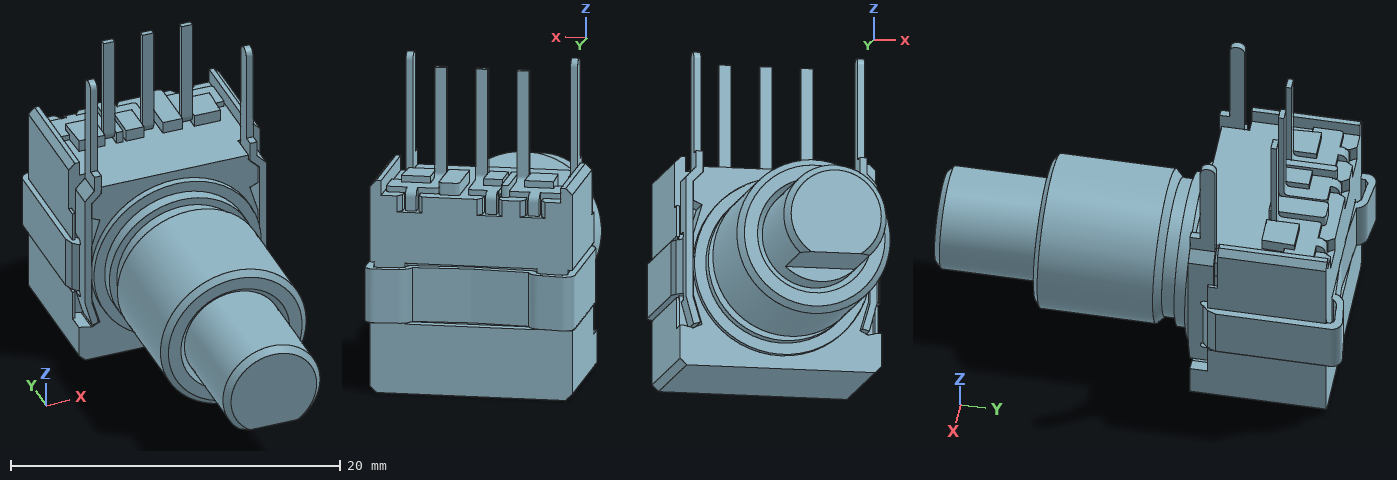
import cadquery as cq
import math


INCH = 25.4

housing_width = 12.5
housing_rear = 8.4
housing_top = 6.08
housing_bottom = -6.26
corner_chamfer = 0.4
half_width = housing_width / 2

wall_top = 7.0
wall_thickness = 0.71

flange_radius = 5.46
flange_front = -0.45
bushing_radius = 3 / 8 * INCH / 2
collar_front = -1.23
neck_radius = 4.28
neck_front = -2.08
bushing_lead_in = 0.47
bushing_front = -9.98
bushing_chamfer_length = 0.31
bushing_chamfer_depth = 0.4
shaft_radius = 1 / 4 * INCH / 2
shaft_front = -16.36
shaft_chamfer = 0.38
bore_chamfer = 0.37
flat_start = -11.62
flat_height = -2.33

strap_half_height = 1.68
strap_thickness = 0.5
strap_outer = 12.95 / 2
strap_inner = strap_outer - strap_thickness
strap_rear = 9.34
strap_centre_rear = 8.26
leg_thickness = 0.45
leg_outer = 5.93
leg_inner = leg_outer - leg_thickness
leg_back = 1.41
leg_front = -0.14
clip_pin_x = 2 * 2.54
clip_pin_front = 0.48
clip_pin_outer = clip_pin_x + leg_thickness / 2
clip_pin_inner = clip_pin_x - leg_thickness / 2
clip_pin_round = (leg_back - clip_pin_front) / 2 - 0.005
shoulder_top = 7.0
pin_top = 13.33
elbow_inner_top = 5.72
elbow_inner_bottom = 5.1
elbow_outer_top = 6.0
elbow_outer_bottom = 5.35
foot_outer_bend = -1.98
foot_inner_bend = -2.06
foot_outer_tip = (5.45, -3.73)
foot_inner_tip = (5.02, -3.61)
jog_start = 1.65
jog_knee = (6.27, 1.1)
jog_end = 0.78
spring_outer_foot = (3.58, 8.53)
spring_outer_bend = (3.8, 8.92)
spring_outer_crest = (4.28, 9.15)
spring_inner_foot = (3.9, 8.04)
spring_inner_bend = (4.08, 8.5)
spring_inner_crest = (4.35, 8.72)
corner_outer_back = 5.75
corner_outer_middle = (6.27, 9.17)
corner_outer_side = 8.72
corner_inner_back = (5.72, 8.85)
corner_inner_side = 8.65
relief_height = 0.42
relief_front = 0.62

groove_half_height = 1.9
back_recess_half_width = 4.06
pocket_back = 1.72
pocket_clearance = 0.05
pocket_half_height = 3.8
pocket_rim = 0.18
rim_front = 1.1
flare_inner = 4.9
flare_shoulder = 3.7
flare_height = 3.95

pin_pitch = 2.54
pin_width = 0.74
sheet_thickness = 0.35
pin_front = 4.42
bend_radius = 0.3
sheet_rear = 7.43
pad_step = 5.56
sheet_corner = 0.2
tab_width = 0.67
tab_length = 0.55
tab_bend = 0.5
notch_width = 1.0
notch_mouth = 1.55
notch_flare = 0.4
notch_depth = 1.0
outer_notch_x = 3.79
centre_notch_x = -1.15
outer_pad_edge = 5.41
centre_pad_edge = -1.54

block_top = 6.84
block_front = 4.16
block_rear = 6.19
block_outer_rear = 4.7
block_outer_front = 4.61
rib_rear = 7.66
narrow_rib = (-2.17, -1.73)
wide_rib = (0.86, 2.14)
narrow_rib_corner = 0.19
wide_rib_corner = 0.25


def box(x_range, y_range, z_range):
    """Box between two limits on each axis."""
    size = [limits[1] - limits[0] for limits in (x_range, y_range, z_range)]
    corner = (x_range[0], y_range[0], z_range[0])
    return cq.Workplane("XY").box(*size, centered=False).translate(corner)


def prism_z(points, z_range):
    """Outline in X and Y, extruded between two heights."""
    outline = cq.Workplane("XY").workplane(offset=z_range[0]).polyline(points).close()
    return outline.extrude(z_range[1] - z_range[0])


def prism_y(points, y_range):
    """Outline in X and Z, extruded between two depths."""
    outline = cq.Workplane("XZ", origin=(0, y_range[1], 0)).polyline(points).close()
    return outline.extrude(y_range[1] - y_range[0])


def both_sides(half):
    """The shape together with its mirror image across X = 0."""
    return half.union(half.mirror("YZ"))


def make_block():
    """Main block with its bottom corners chamfered and a raised wall along each side."""
    block = box((-half_width, half_width), (0, housing_rear), (housing_bottom, housing_top))
    block = block.edges("|Y and <Z").chamfer(corner_chamfer)
    wall = box(
        (half_width - wall_thickness, half_width), (pocket_back, housing_rear), (0, wall_top)
    )
    wall = wall.edges("|Y and >Z and >X").chamfer(corner_chamfer)
    return block.union(both_sides(wall))


def make_bushing_and_shaft():
    """Turned profile: flange, collar, neck, bushing, chamfered mouth and shaft."""
    barrel_start = neck_front - bushing_lead_in
    profile = [
        (0, pocket_back),
        (neck_radius, pocket_back),
        (neck_radius, 0),
        (flange_radius, 0),
        (flange_radius, flange_front),
        (bushing_radius, flange_front),
        (bushing_radius, collar_front),
        (neck_radius, collar_front),
        (neck_radius, neck_front),
        (bushing_radius, barrel_start),
        (bushing_radius, bushing_front + bushing_chamfer_length),
        (bushing_radius - bushing_chamfer_depth, bushing_front),
        (shaft_radius + bore_chamfer, bushing_front),
        (shaft_radius, bushing_front + bore_chamfer),
        (shaft_radius, shaft_front + shaft_chamfer),
        (shaft_radius - shaft_chamfer, shaft_front),
        (0, shaft_front),
    ]
    turned = cq.Workplane("XY").polyline(profile).close().revolve(360, (0, 0, 0), (0, 1, 0))
    flat = box(
        (-shaft_radius, shaft_radius), (shaft_front, flat_start), (-shaft_radius, flat_height)
    )
    return turned.cut(flat)


def make_clip_pocket():
    """Corner pocket for one clip leg, open to the front and, above the rim, to the side."""
    depth = (leg_front, pocket_back)
    wall_x = leg_inner - pocket_clearance
    upper_wall_x = clip_pin_inner - pocket_clearance
    rim_x = half_width - pocket_rim
    channel = prism_y(
        [
            (wall_x, -pocket_half_height),
            (rim_x, -pocket_half_height),
            (rim_x, pocket_half_height),
            (half_width, pocket_half_height),
            (half_width, housing_top),
            (upper_wall_x, housing_top),
            (upper_wall_x, leg_elbow_height(upper_wall_x)),
            (wall_x, leg_elbow_height(wall_x)),
        ],
        depth,
    )
    side_rim = box(
        (wall_x, half_width), (leg_front, rim_front), (-pocket_half_height, pocket_half_height)
    )
    pocket = channel.union(side_rim)
    for side in (-1, 1):
        flare = [
            (wall_x, side * groove_half_height),
            (flare_inner, side * flare_shoulder),
            (wall_x, side * flare_height),
            (rim_x, side * pocket_half_height),
            (rim_x, side * groove_half_height),
        ]
        pocket = pocket.union(prism_y(flare, depth))
    return pocket


def make_strap_groove():
    """Groove along one side and half of the recess in the back, both taller than the strap."""
    height = (-groove_half_height, groove_half_height)
    side = box((strap_inner, half_width), (0, housing_rear), height)
    recess_floor = strap_centre_rear - strap_thickness
    back = box((0, back_recess_half_width), (recess_floor, housing_rear), height)
    return side.union(back)


def make_notch(centre_x):
    """Notch in the top rear edge, with a flared mouth."""
    throat = housing_rear - notch_flare
    half_throat = notch_width / 2
    half_mouth = notch_mouth / 2
    outline = [
        (centre_x - half_throat, sheet_rear),
        (centre_x + half_throat, sheet_rear),
        (centre_x + half_throat, throat),
        (centre_x + half_mouth, housing_rear),
        (centre_x - half_mouth, housing_rear),
        (centre_x - half_throat, throat),
    ]
    return prism_z(outline, (housing_top - notch_depth, housing_top))


def make_bent_strip(x_range):
    """Strip that lies on the housing top and bends up into a solder pin."""
    sheet_top = housing_top + sheet_thickness
    pin_back = pin_front + sheet_thickness
    outer_bend = bend_radius + sheet_thickness
    bend_y = pin_back + bend_radius
    bend_z = sheet_top + bend_radius
    diagonal = math.sqrt(0.5)
    strip = (
        cq.Workplane("YZ", origin=(x_range[0], 0, 0))
        .moveTo(sheet_rear - sheet_corner, housing_top)
        .lineTo(bend_y, housing_top)
        .threePointArc(
            (bend_y - outer_bend * diagonal, bend_z - outer_bend * diagonal), (pin_front, bend_z)
        )
        .lineTo(pin_front, pin_top)
        .lineTo(pin_back, pin_top)
        .lineTo(pin_back, bend_z)
        .threePointArc(
            (bend_y - bend_radius * diagonal, bend_z - bend_radius * diagonal), (bend_y, sheet_top)
        )
        .lineTo(sheet_rear - sheet_corner, sheet_top)
        .close()
    )
    return strip.extrude(x_range[1] - x_range[0])


def make_tab(centre_x):
    """Tab at the back of a terminal that curves down into its notch."""
    sheet_top = housing_top + sheet_thickness
    tab_rear = sheet_rear + tab_length
    tab = box(
        (centre_x - tab_width / 2, centre_x + tab_width / 2),
        (sheet_rear - sheet_corner, tab_rear),
        (housing_top - notch_depth, sheet_top),
    )
    return tab.edges("|X and >Y and >Z").fillet(tab_bend)


def make_outer_terminal():
    """Right-hand terminal: L-shaped pad, solder pin and rear tab."""
    pin_inner = pin_pitch - pin_width / 2
    sheet = (housing_top, housing_top + sheet_thickness)
    pad = box((pin_inner, outer_pad_edge), (pad_step, sheet_rear), sheet)
    pad = pad.edges("|Z and >Y").fillet(sheet_corner)
    strip = make_bent_strip((pin_inner, pin_inner + pin_width))
    strip = strip.cut(box((0, outer_pad_edge), (pad_step, sheet_rear), (0, wall_top)))
    return pad.union(strip).union(make_tab(outer_notch_x))


def make_centre_terminal():
    """Centre terminal: pad to the left of the solder pin, and rear tab."""
    pin_edge = pin_width / 2
    sheet = (housing_top, housing_top + sheet_thickness)
    pad = box((centre_pad_edge, pin_edge), (block_rear, sheet_rear), sheet)
    pad = pad.edges("|Z and >Y and >X").fillet(sheet_corner)
    strip = make_bent_strip((-pin_edge, pin_edge))
    strip = strip.cut(box((-pin_edge, pin_edge), (block_rear, sheet_rear), (0, wall_top)))
    return pad.union(strip).union(make_tab(centre_notch_x))


def make_terminal_blocks():
    """Moulded blocks over the terminals and the two ribs between them."""
    height = (housing_top, block_top)
    block_inner = pin_pitch + pin_width / 2
    outer_block = prism_z(
        [
            (block_inner, block_front),
            (block_outer_front, block_front),
            (block_outer_rear, block_rear),
            (block_inner, block_rear),
        ],
        height,
    )
    centre_block = box((centre_pad_edge, -pin_width / 2), (block_front, block_rear), height)
    blocks = both_sides(outer_block).union(centre_block)
    for rib_x, corner in ((narrow_rib, narrow_rib_corner), (wide_rib, wide_rib_corner)):
        rib = box(rib_x, (block_front, rib_rear), height)
        blocks = blocks.union(rib.edges("|Z and >Y").fillet(corner))
    return blocks


def make_housing():
    """Block with clip room and notches, carrying the bushing, shaft and terminals."""
    housing = make_block()
    housing = housing.cut(both_sides(make_clip_pocket()))
    housing = housing.cut(both_sides(make_strap_groove()))
    for notch_x in (-outer_notch_x, centre_notch_x, outer_notch_x):
        housing = housing.cut(make_notch(notch_x))
    housing = housing.union(make_bushing_and_shaft())
    housing = housing.union(make_terminal_blocks())
    housing = housing.union(both_sides(make_outer_terminal()))
    return housing.union(make_centre_terminal())



def leg_elbow_height(x):
    """Height of the inner face of the slanted leg elbow at a given X."""
    slope = (elbow_inner_top - elbow_inner_bottom) / (clip_pin_inner - leg_inner)
    return elbow_inner_bottom + slope * (x - leg_inner)


def make_leg():
    """Front leg: solder pin, slanted elbow, straight run and inward-bent foot."""
    leg = prism_y(
        [
            (clip_pin_inner, pin_top),
            (clip_pin_outer, pin_top),
            (clip_pin_outer, elbow_outer_top),
            (leg_outer, elbow_outer_bottom),
            (leg_outer, foot_outer_bend),
            foot_outer_tip,
            foot_inner_tip,
            (leg_inner, foot_inner_bend),
            (leg_inner, elbow_inner_bottom),
            (clip_pin_inner, elbow_inner_top),
        ],
        (leg_front, leg_back),
    )
    above_shoulder = box((0, leg_outer), (leg_front, clip_pin_front), (shoulder_top, pin_top))
    leg = leg.cut(above_shoulder)
    return leg.edges("|X and >Z").fillet(clip_pin_round)


def make_relief(side):
    """Round-ended bend relief in the leg, just above or below the strap."""
    radius = relief_height / 2
    centre_z = side * (strap_half_height + radius)
    slot = box(
        (leg_inner, leg_outer),
        (relief_front + radius, leg_back),
        (centre_z - radius, centre_z + radius),
    )
    end = (
        cq.Workplane("YZ", origin=(leg_inner, 0, 0))
        .center(relief_front + radius, centre_z)
        .circle(radius)
        .extrude(leg_thickness)
    )
    return slot.union(end)


def make_half_strap():
    """Strap from the middle of the back, round the rear corner and forward to the leg."""
    strap = (
        cq.Workplane("XY")
        .workplane(offset=-strap_half_height)
        .moveTo(0, strap_centre_rear)
        .lineTo(*spring_outer_foot)
        .threePointArc(spring_outer_bend, spring_outer_crest)
        .lineTo(corner_outer_back, strap_rear)
        .threePointArc(corner_outer_middle, (strap_outer, corner_outer_side))
        .lineTo(strap_outer, jog_start)
        .lineTo(*jog_knee)
        .lineTo(leg_outer, jog_end)
        .lineTo(leg_inner, jog_end)
        .lineTo(leg_inner, leg_back)
        .lineTo(strap_inner, jog_start)
        .lineTo(strap_inner, corner_inner_side)
        .lineTo(*corner_inner_back)
        .lineTo(*spring_inner_crest)
        .lineTo(*spring_inner_bend)
        .lineTo(*spring_inner_foot)
        .lineTo(0, strap_centre_rear - strap_thickness)
        .close()
    )
    return strap.extrude(2 * strap_half_height)


def make_clip():
    """Strap and both legs, formed from one sheet."""
    half = make_leg()
    for side in (-1, 1):
        half = half.cut(make_relief(side))
    half = half.union(make_half_strap())
    return both_sides(half)


housing = make_housing()
clip = make_clip()

result = cq.Compound.makeCompound([housing.solids().val(), clip.solids().val()])